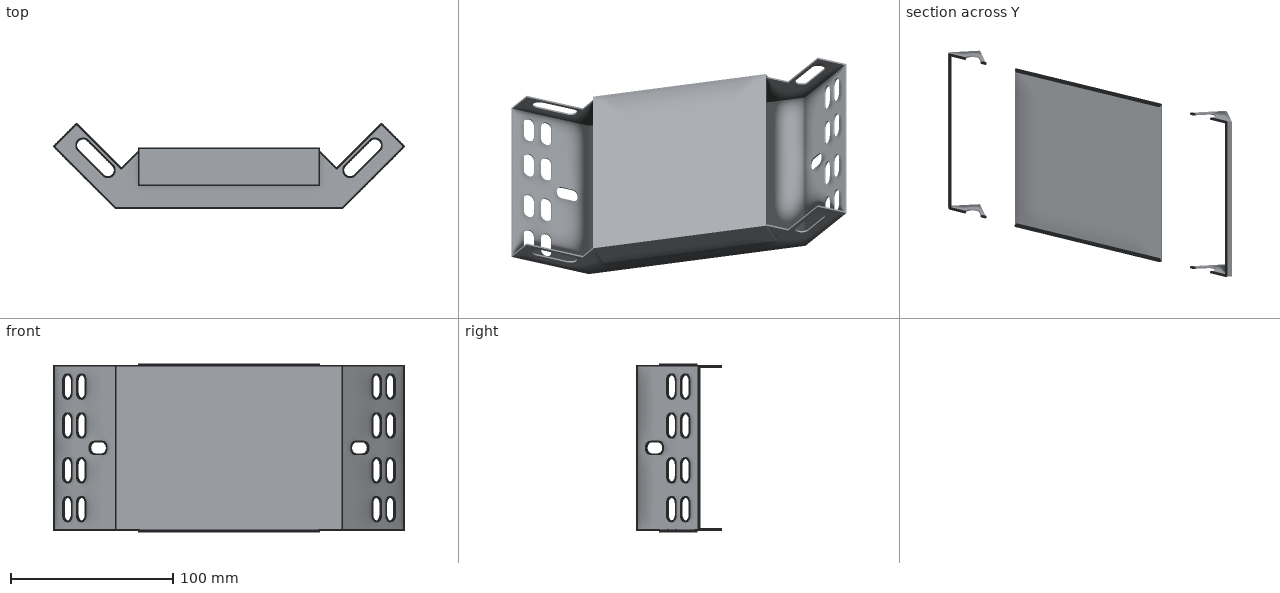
import cadquery as cq
import math

OVERALL_LENGTH = 216.0
OVERALL_DEPTH = 52.0
OVERALL_HEIGHT = 103.3
WEB_LENGTH = 140.0
SHEET_THICKNESS = 1.0
WING_ANGLE = 45.0

COVER_THICKNESS = 0.9
COVER_LENGTH = 111.5
COVER_BACK_Y = 37.0
COVER_FLANGE_DEPTH = 23.0

SLOT_WIDTH = 7.5
TALL_SLOT_HEIGHT = 15.1
TALL_SLOT_ANGLE = 90.0
TALL_SLOT_COLUMNS = (11.7, 23.8)
TALL_SLOT_INNER_Z = 13.8
TALL_SLOT_OUTER_Z = 37.8
TALL_SLOT_LEVELS = (-TALL_SLOT_OUTER_Z, -TALL_SLOT_INNER_Z, TALL_SLOT_INNER_Z, TALL_SLOT_OUTER_Z)
CROSS_SLOT_LENGTH = 15.1
CROSS_SLOT_FROM_END = 38.5

FLANGE_SLOT_LENGTH = 30.0
FLANGE_SLOT_WIDTH = 8.5
FLANGE_SLOT_FROM_END = 23.1
FLANGE_SLOT_FROM_WALL = 13.2
NOTCH_FROM_END = 39.1

HALF_LENGTH = OVERALL_LENGTH / 2
HALF_WEB = WEB_LENGTH / 2
CHANNEL_HEIGHT = OVERALL_HEIGHT - 2 * COVER_THICKNESS
WING_COS = math.cos(math.radians(WING_ANGLE))
WING_SIN = math.sin(math.radians(WING_ANGLE))
WING_RUN = HALF_LENGTH - HALF_WEB
WING_RISE = WING_RUN * math.tan(math.radians(WING_ANGLE))
WING_FLANGE_WIDTH = (OVERALL_DEPTH - WING_RISE) / WING_COS
FLANGE_BACK_Y = COVER_BACK_Y - COVER_THICKNESS
SLOT_CUT_REACH = 2 * SHEET_THICKNESS


def wing_point(from_end, from_wall):
    """Plan position on the +X wing, along it from its free end and inward from its outer face."""
    x = HALF_LENGTH - from_end * WING_COS - from_wall * WING_SIN
    y = WING_RISE - from_end * WING_SIN + from_wall * WING_COS
    return x, y


def mirrored_outline(right_half):
    """Close an outline given by its +X half, listed from the front to the back."""
    left_half = [(-x, y) for x, y in reversed(right_half)]
    return cq.Workplane("XY").polyline(right_half + left_half).close()


def flanged_plan():
    """Outline of the flanges, notched where each wing meets the middle."""
    notch_x, notch_y = wing_point(NOTCH_FROM_END, WING_FLANGE_WIDTH)
    ramp_run = (FLANGE_BACK_Y - notch_y) / math.tan(math.radians(WING_ANGLE))
    return mirrored_outline([
        (HALF_WEB, 0),
        wing_point(0, 0),
        wing_point(0, WING_FLANGE_WIDTH),
        (notch_x, notch_y),
        (notch_x - ramp_run, FLANGE_BACK_Y),
    ])


def interior_plan():
    """Space behind the web and wings, running past the flange edges so the back is open."""
    inner_half_web = HALF_WEB - SHEET_THICKNESS * math.tan(math.radians(WING_ANGLE / 2))
    run_to_back = (OVERALL_DEPTH - SHEET_THICKNESS) / math.tan(math.radians(WING_ANGLE))
    return mirrored_outline([
        (inner_half_web, SHEET_THICKNESS),
        (inner_half_web + run_to_back, OVERALL_DEPTH),
    ])


def wing_wall_cutters():
    """Slot cutters through the +X wing wall."""
    wall = cq.Plane(
        origin=(*wing_point(0, 0), 0),
        xDir=(-WING_COS, -WING_SIN, 0),
        normal=(WING_SIN, -WING_COS, 0),
    )
    tall_centres = [(along, level) for along in TALL_SLOT_COLUMNS for level in TALL_SLOT_LEVELS]
    tall_slots = (
        cq.Workplane(wall)
        .pushPoints(tall_centres)
        .slot2D(TALL_SLOT_HEIGHT, SLOT_WIDTH, TALL_SLOT_ANGLE)
        .extrude(SLOT_CUT_REACH, both=True)
    )
    cross_slot = (
        cq.Workplane(wall)
        .center(CROSS_SLOT_FROM_END, 0)
        .slot2D(CROSS_SLOT_LENGTH, SLOT_WIDTH)
        .extrude(SLOT_CUT_REACH, both=True)
    )
    return tall_slots.add(cross_slot).combine()


def flange_cutter():
    """Slot cutter through both flanges of the +X wing."""
    return (
        cq.Workplane("XY")
        .center(*wing_point(FLANGE_SLOT_FROM_END, FLANGE_SLOT_FROM_WALL))
        .slot2D(FLANGE_SLOT_LENGTH, FLANGE_SLOT_WIDTH, WING_ANGLE)
        .extrude(CHANNEL_HEIGHT, both=True)
    )


def make_channel():
    body = flanged_plan().extrude(CHANNEL_HEIGHT / 2, both=True)
    body = body.cut(interior_plan().extrude(CHANNEL_HEIGHT / 2 - SHEET_THICKNESS, both=True))
    for cutter in (wing_wall_cutters(), flange_cutter()):
        body = body.cut(cutter).cut(cutter.mirror("YZ"))
    return body


def make_cover():
    centre_y = COVER_BACK_Y - COVER_FLANGE_DEPTH / 2
    outside = cq.Workplane("XY").box(COVER_LENGTH, COVER_FLANGE_DEPTH, OVERALL_HEIGHT)
    inside = (
        cq.Workplane("XY")
        .box(COVER_LENGTH, COVER_FLANGE_DEPTH, CHANNEL_HEIGHT)
        .translate((0, -COVER_THICKNESS, 0))
    )
    return outside.cut(inside).translate((0, centre_y, 0))


channel = make_channel()
cover = make_cover()
result = cq.Compound.makeCompound([channel.val(), cover.val()])